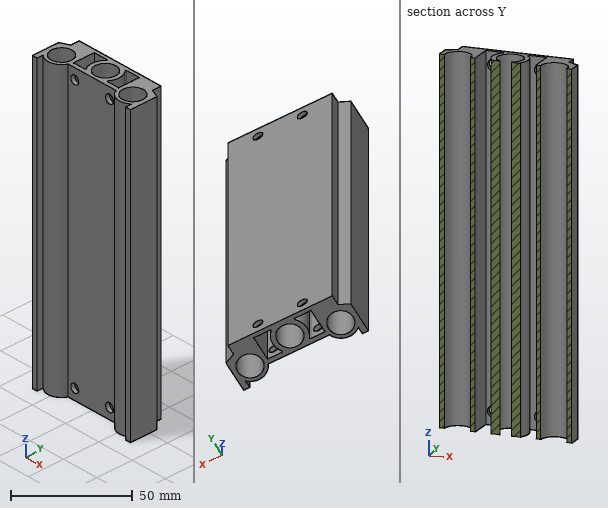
import cadquery as cq

length = 161.0
width = 59.0
depth = 22.0
half_width = width / 2
rear_y = depth / 2
front_y = -depth / 2

rear_half_width = 24.6
shoulder_drop = 4.8
shoulder_slope_end = 7.1

web_depth = 16.0
leg_thickness = 2.9
web_front_y = rear_y - web_depth
leg_inner_x = half_width - leg_thickness

bore_diameter = 11.6
side_bore_x = 21.4
side_bore_y = rear_y - 13.0
side_tube_radius = 7.5
center_bore_y = rear_y - 8.4
center_tube_radius = 8.0

window_half_span = 13.5
window_rear_wall = 2.0
window_front_wall = 2.3
window_depth = web_depth - window_rear_wall - window_front_wall
window_y = rear_y - window_rear_wall - window_depth / 2
window_fillet = 0.4

mount_diameter = 4.7
mount_spacing_x = 21.0
mount_end_distance = 6.0


def cylinder(x, y, radius):
    """Full-length round bar along Z."""
    return cq.Workplane("XY").center(x, y).circle(radius).extrude(length)


def make_body():
    """Solid profile with shoulders, legs and the two side tubes."""
    right_half = [
        (rear_half_width, rear_y),
        (rear_half_width, rear_y - shoulder_drop),
        (half_width, rear_y - shoulder_slope_end),
        (half_width, front_y),
        (leg_inner_x, front_y),
        (leg_inner_x, web_front_y),
    ]
    left_half = [(-x, y) for x, y in reversed(right_half)]
    body = cq.Workplane("XY").polyline(right_half + left_half).close().extrude(length)
    for side in (-1, 1):
        body = body.union(cylinder(side * side_bore_x, side_bore_y, side_tube_radius))
    return body


def make_windows():
    """Rectangular opening interrupted by the wall of the central tube."""
    opening = (
        cq.Workplane("XY")
        .center(0, window_y)
        .rect(2 * window_half_span, window_depth)
        .extrude(length)
    )
    windows = opening.cut(cylinder(0, center_bore_y, center_tube_radius))
    tube_corners = cq.selectors.BoxSelector(
        (-center_tube_radius, front_y, 0), (center_tube_radius, rear_y, length)
    )
    return windows.edges("|Z").edges(tube_corners).fillet(window_fillet)


def make_bores():
    """One central and two side bores."""
    bores = cylinder(0, center_bore_y, bore_diameter / 2)
    for side in (-1, 1):
        bores = bores.union(cylinder(side * side_bore_x, side_bore_y, bore_diameter / 2))
    return bores


def make_mount_holes():
    """Four holes running through the web along Y, two near each end."""
    return (
        cq.Workplane("XZ", origin=(0, 0, length / 2))
        .rect(mount_spacing_x, length - 2 * mount_end_distance, forConstruction=True)
        .vertices()
        .circle(mount_diameter / 2)
        .extrude(depth, both=True)
    )


result = make_body().cut(make_windows()).cut(make_bores()).cut(make_mount_holes())